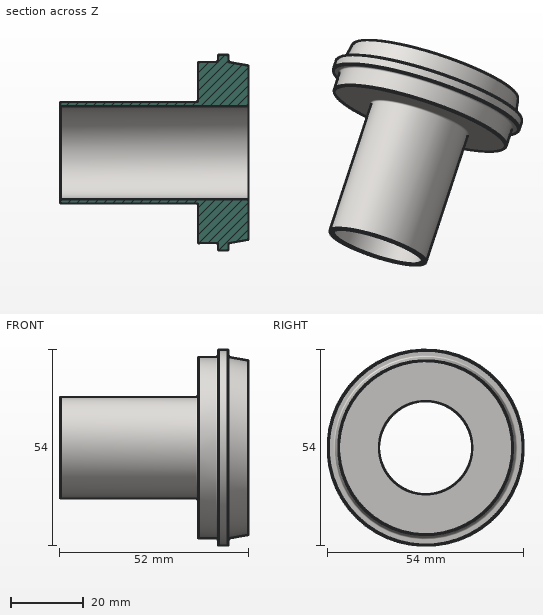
import cadquery as cq
import math

overall_length = 52.0
tube_length = 38.0
collar_start = 43.5
collar_width = 3.0
collar_end = collar_start + collar_width

bore_radius = 25.6 / 2
tube_radius = 28.0 / 2
flange_radius = 50.0 / 2
collar_radius = 54.0 / 2

nose_angle = 10.0
nose_length = overall_length - collar_end
nose_end_radius = flange_radius - nose_length * math.tan(math.radians(nose_angle))

corner_chamfer = 0.3
nose_chamfer = 0.2
step_fillet = 0.4

pick_slack = 0.05


def stepped_body():
    """Solid of revolution about X: tube, flange, collar and tapered nose, with a through bore."""
    profile = [
        (0, bore_radius),
        (0, tube_radius),
        (tube_length, tube_radius),
        (tube_length, flange_radius),
        (collar_start, flange_radius),
        (collar_start, collar_radius),
        (collar_end, collar_radius),
        (collar_end, flange_radius),
        (overall_length, nose_end_radius),
        (overall_length, bore_radius),
    ]
    return cq.Workplane("XY").polyline(profile).close().revolve(360, (0, 0, 0), (1, 0, 0))


def slab(x, half_size):
    """Selector for edges in a thin square slab at x, centred on the axis."""
    return cq.selectors.BoxSelector(
        (x - pick_slack, -half_size, -half_size),
        (x + pick_slack, half_size, half_size),
        boundingbox=True,
    )


def circle_edge(body, x, radius):
    """The circular edge of the body at position x with the given radius."""
    return body.edges(slab(x, radius + pick_slack) - slab(x, radius - pick_slack))


def chamfer_corners(body):
    """Break the tube mouth, flange, collar and nose corners."""
    corners = [
        (0, bore_radius, corner_chamfer),
        (0, tube_radius, corner_chamfer),
        (tube_length, flange_radius, corner_chamfer),
        (collar_start, collar_radius, corner_chamfer),
        (collar_end, collar_radius, corner_chamfer),
        (overall_length, nose_end_radius, nose_chamfer),
    ]
    for x, radius, size in corners:
        body = circle_edge(body, x, radius).chamfer(size)
    return body


def fillet_steps(body):
    """Round the inner corners at the foot of the flange and on both sides of the collar."""
    steps = [
        (tube_length, tube_radius),
        (collar_start, flange_radius),
        (collar_end, flange_radius),
    ]
    for x, radius in steps:
        body = circle_edge(body, x, radius).fillet(step_fillet)
    return body


result = fillet_steps(chamfer_corners(stepped_body()))